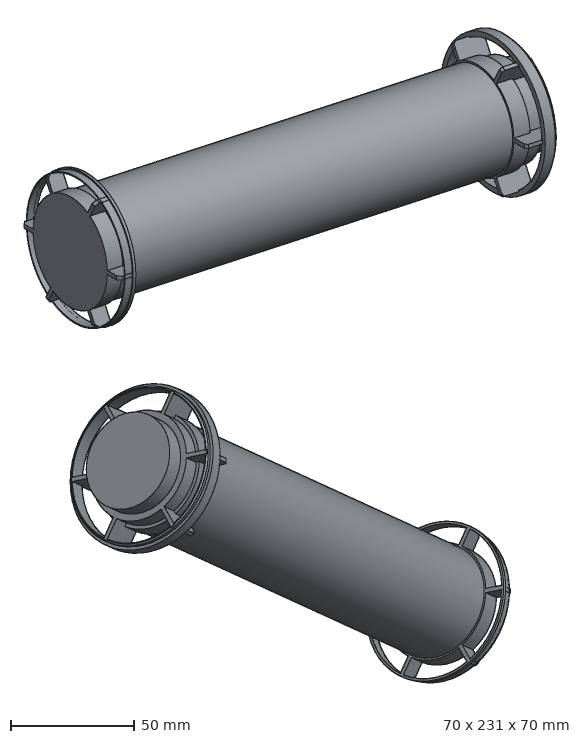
import cadquery as cq

total_length = 231.0
body_diameter = 48.0
neck_diameter = 46.7
spigot_diameter = 41.0
spigot_length = 7.9
hub_diameter = 49.7
body_end = total_length - spigot_length

spoke_count = 6
spoke_thickness = 1.8
ring_bore = 65.1

front_spider_length = 7.9
front_ring_start = 2.8
front_ring_diameter = 66.0
front_lip_diameter = 67.2
front_lip_width = 1.5
front_spoke_diameter = 65.5
front_spoke_chamfer = 1.8

flange_diameter = 70.0
flange_width = 5.0
shoulder_diameter = 67.2
shoulder_width = 2.0
shoulder_chamfer = 0.7
rear_hub_length = 8.3
rear_spoke_diameter = 66.3
rear_spoke_chamfer = 1.2
flange_start = body_end - shoulder_width - flange_width
rear_hub_start = flange_start - rear_hub_length


def cylinder(diameter, start, end):
    """Solid cylinder on the Y axis between two Y positions."""
    plane = cq.Workplane("XZ", origin=(0, start, 0))
    return plane.circle(diameter / 2).extrude(start - end)


def spokes(diameter, chamfer, start, end, hub_end):
    """Hub with radial spokes whose outer front corners are chamfered."""
    radius = diameter / 2
    envelope = cylinder(diameter, start, end).faces("<Y").chamfer(chamfer)
    blade = cq.Workplane("XY").box(
        radius, end - start, spoke_thickness, centered=(False, False, True)
    ).translate((0, start, 0))
    wheel = cylinder(hub_diameter, start, hub_end)
    for index in range(spoke_count):
        angle = index * 360 / spoke_count
        wheel = wheel.union(blade.rotate((0, 0, 0), (0, 1, 0), angle))
    return wheel.intersect(envelope)


def front_spider():
    lip_start = front_spider_length - front_lip_width
    ring = cylinder(front_ring_diameter, front_ring_start, front_spider_length)
    ring = ring.union(cylinder(front_lip_diameter, lip_start, front_spider_length))
    ring = ring.cut(cylinder(ring_bore, front_ring_start, front_spider_length))
    wheel = spokes(
        front_spoke_diameter, front_spoke_chamfer, 0, front_spider_length, front_spider_length
    )
    return ring.union(wheel)


def rear_spider():
    shoulder_start = flange_start + flange_width
    shoulder = cylinder(shoulder_diameter, shoulder_start, body_end)
    shoulder = shoulder.faces(">Y").chamfer(shoulder_chamfer)
    ring = cylinder(flange_diameter, flange_start, shoulder_start).union(shoulder)
    ring = ring.cut(cylinder(ring_bore, flange_start, body_end))
    wheel = spokes(rear_spoke_diameter, rear_spoke_chamfer, rear_hub_start, body_end, flange_start)
    return ring.union(wheel)


body = cylinder(body_diameter, 0, flange_start)
neck = cylinder(neck_diameter, flange_start, body_end)
spigot = cylinder(spigot_diameter, body_end, total_length)

result = body.union(neck).union(spigot).union(front_spider()).union(rear_spider())